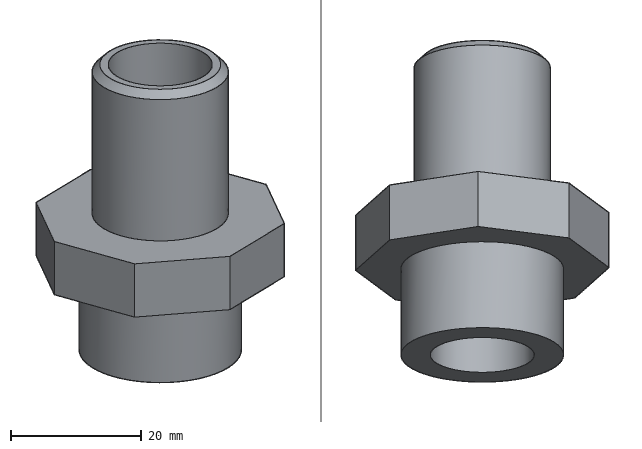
import cadquery as cq
import math

total_height = 48.0
base_height = 14.0
flange_height = 9.0
spigot_height = total_height - base_height - flange_height

base_diameter = 25.0
flange_across_flats = 36.0
spigot_diameter = 21.0
bore_diameter = 16.0
tip_chamfer = 1.2

flange_sides = 8
flange_across_corners = flange_across_flats / math.cos(math.pi / flange_sides)
half_side_angle = 180.0 / flange_sides


def make_base():
    """Wide round connector below the flange."""
    return cq.Workplane("XY").circle(base_diameter / 2).extrude(base_height)


def make_flange():
    """Regular octagonal nut with flats facing X and Y."""
    return (
        cq.Workplane("XY")
        .polygon(flange_sides, flange_across_corners)
        .extrude(flange_height)
        .rotate((0, 0, 0), (0, 0, 1), half_side_angle)
        .translate((0, 0, base_height))
    )


def make_spigot():
    """Narrower round connector above the flange, chamfered at its tip."""
    return (
        cq.Workplane("XY")
        .workplane(offset=base_height + flange_height)
        .circle(spigot_diameter / 2)
        .extrude(spigot_height)
        .faces(">Z")
        .chamfer(tip_chamfer)
    )


def make_bore():
    """Straight passage through the full height."""
    return cq.Workplane("XY").circle(bore_diameter / 2).extrude(total_height)


result = make_base().union(make_flange()).union(make_spigot()).cut(make_bore())